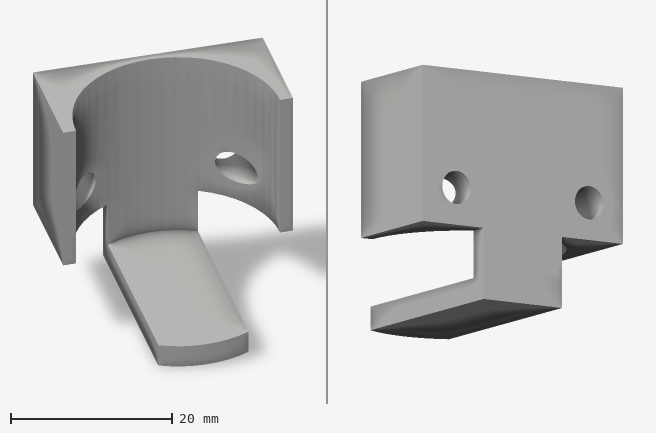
import cadquery as cq

width = 29.6
height = 28.67
length = 27.28

bore_radius = 13.15
block_depth = length - bore_radius
block_height = 19.7
block_bottom = height - block_height

tongue_width = 11.6
tongue_thickness = 3.0

hole_diameter = 4.2
hole_spacing = 19.6
hole_height = 13.67


def box_from_back(depth, box_width, bottom, top):
    """Box centred on Y that starts at the back plane X = 0."""
    return (
        cq.Workplane("XY", origin=(0, 0, bottom))
        .rect(depth, box_width)
        .extrude(top - bottom)
        .translate((depth / 2, 0, 0))
    )


def bore_cylinder(bottom, top):
    """Cylinder on the bore axis between two heights."""
    return (
        cq.Workplane("XY", origin=(block_depth, 0, bottom))
        .circle(bore_radius)
        .extrude(top - bottom)
    )


block = box_from_back(block_depth, width, block_bottom, height)
leg = box_from_back(block_depth, tongue_width, 0, block_bottom)
body = block.union(leg)

body = body.cut(bore_cylinder(tongue_thickness, height))

tongue = box_from_back(length, tongue_width, 0, tongue_thickness).intersect(
    bore_cylinder(0, tongue_thickness)
)
body = body.union(tongue)

holes = (
    cq.Workplane("YZ")
    .pushPoints([(side * hole_spacing / 2, hole_height) for side in (-1, 1)])
    .circle(hole_diameter / 2)
    .extrude(block_depth)
)

result = body.cut(holes).clean()